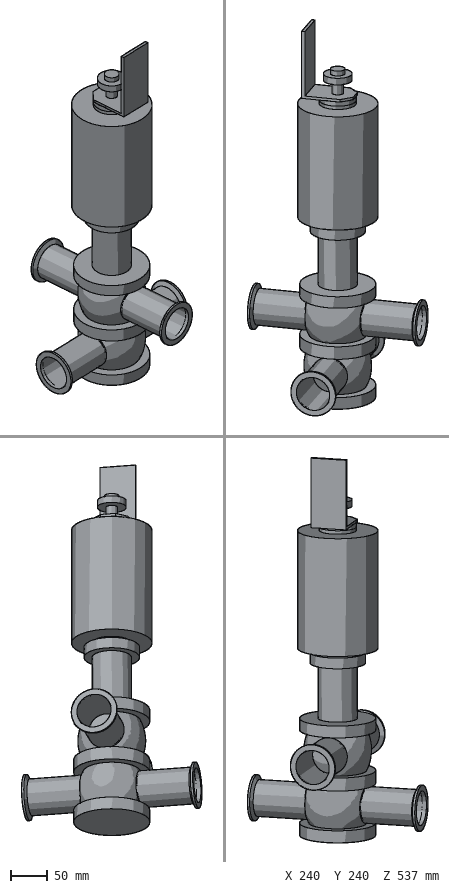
import cadquery as cq

LOWER_FLANGE_TOP = 17.0
MIDDLE_FLANGE_BOTTOM = 73.0
MIDDLE_FLANGE_TOP = 91.5
UPPER_FLANGE_BOTTOM = 147.5
UPPER_FLANGE_TOP = 164.5
CLAMP_BOTTOM = 241.5
CLAMP_TOP = 257.0
ACTUATOR_BOTTOM = 262.5
ACTUATOR_TOP = 428.0
COLLAR_SEAM = 433.0
COLLAR_TOP = 439.5
KNOB_BOTTOM = 462.0
KNOB_TOP = 471.5
HEAD_TOP = 478.5
OVERALL_HEIGHT = 537.0

FLANGE_DIAMETER = 105.0
NECK_DIAMETER = 54.0
CLAMP_DIAMETER = 76.0
ACTUATOR_DIAMETER = 110.5
COLLAR_DIAMETER = 51.0
STEM_DIAMETER = 16.0
KNOB_DIAMETER = 40.0
HEAD_DIAMETER = 20.5

CHAMBER_END_RADIUS = 40.0
CHAMBER_MIDDLE_RADIUS = 46.5

PORT_SPAN = 240.0
PIPE_DIAMETER = 51.0
BORE_DIAMETER = 48.0
FERRULE_DIAMETER = 64.0
FERRULE_RIM = 3.0
FERRULE_LENGTH = 6.5

BRACKET_WIDTH = 50.0
BRACKET_LEFT = -25.0
BRACKET_RIGHT = 44.5
BRACKET_BASE_THICKNESS = 4.0
BRACKET_PLATE_THICKNESS = 5.0
BRACKET_CORNER = 14.5


def disc(diameter, bottom, top):
    """Vertical cylinder on the main axis."""
    return cq.Workplane("XY").workplane(offset=bottom).circle(diameter / 2).extrude(top - bottom)


def chamber(bottom, top):
    """Solid barrel whose side bulges outward in an arc."""
    middle = (bottom + top) / 2
    return (
        cq.Workplane("XZ")
        .moveTo(0, bottom)
        .lineTo(CHAMBER_END_RADIUS, bottom)
        .threePointArc((CHAMBER_MIDDLE_RADIUS, middle), (CHAMBER_END_RADIUS, top))
        .lineTo(0, top)
        .close()
        .revolve(360, (0, 0), (0, 1))
    )


def pipe_pair(height, turn):
    """Two opposite pipes with tapered ferrules, hollow right across the main axis."""
    half_span = PORT_SPAN / 2
    bore_radius = BORE_DIAMETER / 2
    pipe_radius = PIPE_DIAMETER / 2
    ferrule_radius = FERRULE_DIAMETER / 2
    taper_start = half_span - FERRULE_RIM
    taper_end = half_span - FERRULE_LENGTH
    half_pipe = (
        cq.Workplane("XY")
        .moveTo(0, bore_radius)
        .lineTo(half_span, bore_radius)
        .lineTo(half_span, ferrule_radius)
        .lineTo(taper_start, ferrule_radius)
        .lineTo(taper_end, pipe_radius)
        .lineTo(0, pipe_radius)
        .close()
        .revolve(360, (0, 0), (1, 0))
    )
    pipes = half_pipe.union(half_pipe.mirror("YZ"))
    return pipes.rotate((0, 0, 0), (0, 0, 1), turn).translate((0, 0, height))


def stack(discs):
    """Join coaxial discs, each given as diameter, bottom and top."""
    column = cq.Workplane("XY")
    for diameter, bottom, top in discs:
        column = column.union(disc(diameter, bottom, top))
    return column


def make_valve():
    """Ported valve, actuator and lower collar; the chambers close off the pipe bores."""
    body = stack([
        (FLANGE_DIAMETER, 0, LOWER_FLANGE_TOP),
        (FLANGE_DIAMETER, MIDDLE_FLANGE_BOTTOM, MIDDLE_FLANGE_TOP),
        (FLANGE_DIAMETER, UPPER_FLANGE_BOTTOM, UPPER_FLANGE_TOP),
        (NECK_DIAMETER, UPPER_FLANGE_TOP, ACTUATOR_BOTTOM),
        (CLAMP_DIAMETER, CLAMP_BOTTOM, CLAMP_TOP),
        (ACTUATOR_DIAMETER, ACTUATOR_BOTTOM, ACTUATOR_TOP),
        (COLLAR_DIAMETER, ACTUATOR_TOP, COLLAR_SEAM),
    ])
    chambers = [
        (LOWER_FLANGE_TOP, MIDDLE_FLANGE_BOTTOM, 90),
        (MIDDLE_FLANGE_TOP, UPPER_FLANGE_BOTTOM, 0),
    ]
    for bottom, top, turn in chambers:
        pipes = pipe_pair((bottom + top) / 2, turn)
        body = body.union(pipes.union(chamber(bottom, top)))
    return body


def bracket_angle():
    """L-shaped bracket on the collar, with cut corners at its free end."""
    base_top = COLLAR_TOP + BRACKET_BASE_THICKNESS
    plate_face = BRACKET_RIGHT - BRACKET_PLATE_THICKNESS
    angle = (
        cq.Workplane("XZ")
        .moveTo(BRACKET_LEFT, COLLAR_TOP)
        .lineTo(BRACKET_RIGHT, COLLAR_TOP)
        .lineTo(BRACKET_RIGHT, OVERALL_HEIGHT)
        .lineTo(plate_face, OVERALL_HEIGHT)
        .lineTo(plate_face, base_top)
        .lineTo(BRACKET_LEFT, base_top)
        .close()
        .extrude(BRACKET_WIDTH / 2, both=True)
    )
    return angle.faces("<X").edges("|Z").chamfer(BRACKET_CORNER)


def make_indicator():
    """Upper collar carrying the bracket, the stem and its knob, seated on the lower collar."""
    column = stack([
        (COLLAR_DIAMETER, COLLAR_SEAM, COLLAR_TOP),
        (STEM_DIAMETER, COLLAR_TOP, KNOB_BOTTOM),
        (KNOB_DIAMETER, KNOB_BOTTOM, KNOB_TOP),
        (HEAD_DIAMETER, KNOB_TOP, HEAD_TOP),
    ])
    return column.union(bracket_angle())


valve = make_valve()
indicator = make_indicator()
result = cq.Compound.makeCompound([valve.solids().val(), indicator.solids().val()])